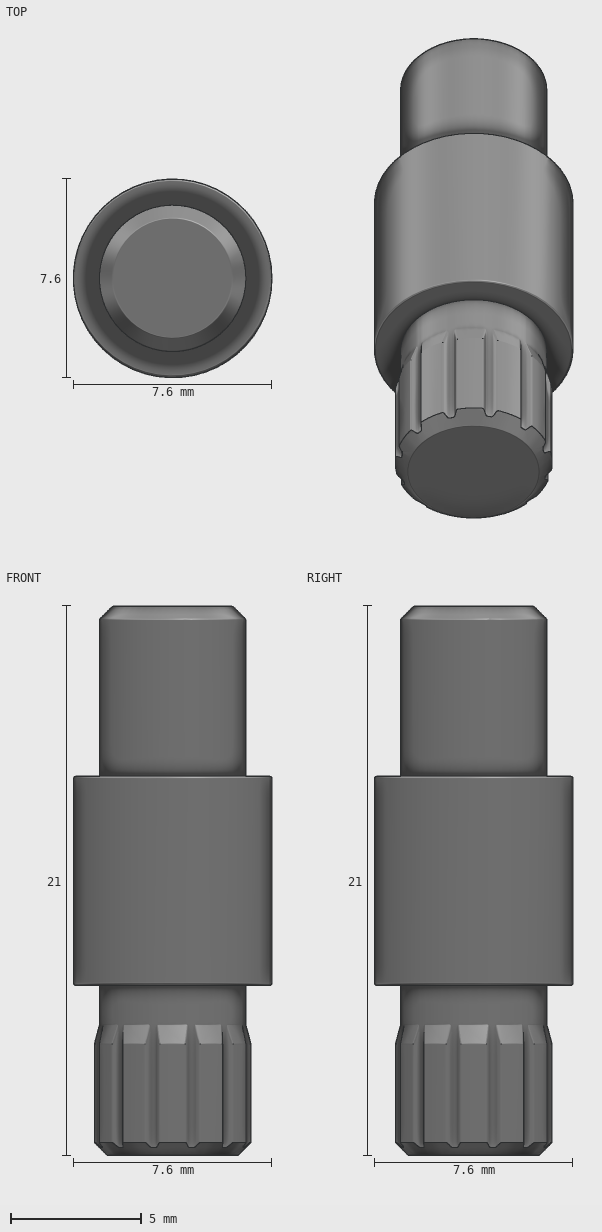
import cadquery as cq
import math

edge_radius = 0.1

pin_diameter = 5.6
pin_radius = pin_diameter / 2
pin_length = 21.0
pin_end_chamfer = 0.5

tooth_count = 12
tooth_pitch_angle = 360 / tooth_count
tooth_height = 0.2
spline_tip_radius = pin_radius + tooth_height
spline_length = 5.0
lead_cone_length = 0.75
lead_cone_bottom = spline_length - lead_cone_length

groove_floor_width = 0.24
groove_mouth_width = 0.56

tooth_root_depth = 0.2
tooth_root_radius = pin_radius - tooth_root_depth

sleeve_diameter = 7.6
sleeve_length = 8.0
sleeve_bottom = 6.5


def groove_side_point(distance):
    """Point on one groove side, at a distance from the pin axis along the groove's middle line."""
    widening = (groove_mouth_width - groove_floor_width) / tooth_height
    half_width = (groove_floor_width + widening * (distance - pin_radius)) / 2
    groove_angle = math.radians(tooth_pitch_angle / 2)
    x = distance * math.cos(groove_angle) + half_width * math.sin(groove_angle)
    y = distance * math.sin(groove_angle) - half_width * math.cos(groove_angle)
    return x, y


def make_spline_envelope():
    """Cylinder over the tooth tips, with the lead cone carried on below the shank surface."""
    cone_slope = lead_cone_length / tooth_height
    cone_top = lead_cone_bottom + cone_slope * (spline_tip_radius - tooth_root_radius)
    return (
        cq.Workplane("XZ")
        .lineTo(spline_tip_radius, 0)
        .lineTo(spline_tip_radius, lead_cone_bottom)
        .lineTo(tooth_root_radius, cone_top)
        .lineTo(0, cone_top)
        .close()
        .revolve(360, (0, 0, 0), (0, 1, 0))
        .rotate((0, 0, 0), (0, 0, 1), 180)
    )


def is_tooth_tip_edge(edge):
    """True for the edges along the tooth top and its lead cone, apart from those at Z = 0."""
    middle = edge.positionAt(0.5)
    outside_root = math.hypot(middle.x, middle.y) > (tooth_root_radius + pin_radius) / 2
    return outside_root and edge.BoundingBox().zmax > edge_radius


def make_tooth():
    """One tooth along +X, between two groove sides, with its tip and lead cone edges rounded."""
    inner_x, inner_y = groove_side_point(tooth_root_radius)
    outer_x, outer_y = groove_side_point(spline_tip_radius + tooth_height)
    wedge = (
        cq.Workplane("XY")
        .polyline([(inner_x, -inner_y), (outer_x, -outer_y), (outer_x, outer_y), (inner_x, inner_y)])
        .close()
        .extrude(pin_length)
    )
    tooth = wedge.intersect(make_spline_envelope())
    tip_edges = [edge for edge in tooth.edges().vals() if is_tooth_tip_edge(edge)]
    return tooth.newObject(tip_edges).fillet(edge_radius)


def is_tooth_root_edge(edge):
    """True for the edges where a tooth meets the shank surface, apart from those at Z = 0."""
    tolerance = 0.001
    points = [edge.positionAt(part) for part in (0, 0.5, 1)]
    on_shank = all(abs(math.hypot(point.x, point.y) - pin_radius) < tolerance for point in points)
    box = edge.BoundingBox()
    return on_shank and box.zmax > edge_radius and box.zmax < sleeve_bottom


def make_shank():
    """Round shank with a chamfered upper end."""
    shank = cq.Workplane("XY").circle(pin_radius).extrude(pin_length)
    shank = shank.faces(">Z").chamfer(pin_end_chamfer)
    return shank.rotate((0, 0, 0), (0, 0, 1), tooth_pitch_angle / 2)


def make_bottom_chamfer_cutter():
    """Ring that chamfers the lower end of the spline, running past the tooth tips."""
    outer_radius = spline_tip_radius + tooth_height
    inner_radius = spline_tip_radius - pin_end_chamfer
    return (
        cq.Workplane("XZ")
        .moveTo(inner_radius, 0)
        .lineTo(outer_radius, 0)
        .lineTo(outer_radius, outer_radius - inner_radius)
        .close()
        .revolve(360, (0, 0, 0), (0, 1, 0))
        .rotate((0, 0, 0), (0, 0, 1), tooth_pitch_angle / 2)
    )


def make_pin():
    """Shank with rounded spline teeth and chamfered ends."""
    tooth = make_tooth().val()
    teeth = []
    for index in range(tooth_count):
        teeth.append(tooth.rotate(cq.Vector(0, 0, 0), cq.Vector(0, 0, 1), index * tooth_pitch_angle))
    pin = make_shank().union(cq.Workplane("XY").newObject(teeth))
    root_edges = [edge for edge in pin.edges().vals() if is_tooth_root_edge(edge)]
    pin = pin.newObject(root_edges).fillet(edge_radius)
    pin = pin.cut(make_bottom_chamfer_cutter())
    pin = pin.faces("<Z").edges().fillet(edge_radius)
    around_top_chamfer = cq.selectors.BoxSelector(
        (-pin_radius, -pin_radius, pin_length - pin_end_chamfer - edge_radius),
        (pin_radius, pin_radius, pin_length + edge_radius),
    )
    return pin.edges("%CIRCLE").edges(around_top_chamfer).fillet(edge_radius)


def make_sleeve():
    """Collar with rounded outer edges and a bore that fits the shank."""
    collar = (
        cq.Workplane("XY")
        .workplane(offset=sleeve_bottom)
        .circle(sleeve_diameter / 2)
        .extrude(sleeve_length)
        .edges("%CIRCLE")
        .fillet(edge_radius)
    )
    bore = (
        cq.Workplane("XY")
        .workplane(offset=sleeve_bottom)
        .circle(pin_radius)
        .extrude(sleeve_length)
    )
    return collar.cut(bore)


pin = make_pin()
sleeve = make_sleeve()

result = cq.Compound.makeCompound([pin.val(), sleeve.val()])